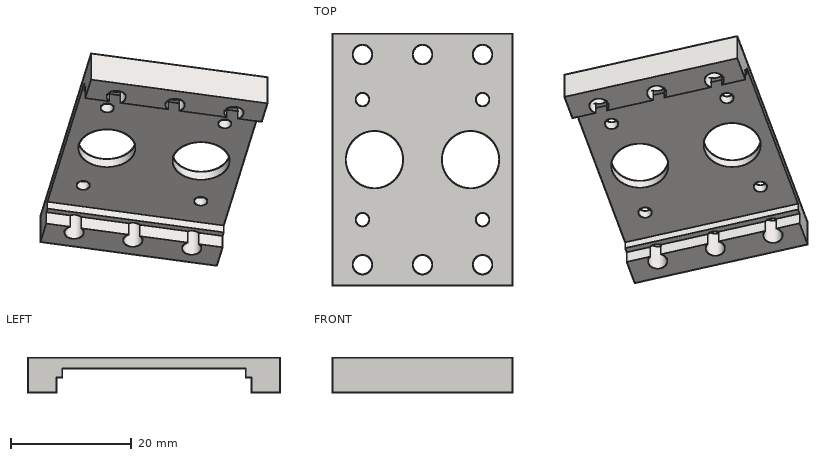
import cadquery as cq

width = 30.0
length = 42.0
height = 5.8

web_thickness = 1.8
ledge_height = 1.5
lower_channel_width = 32.4
upper_channel_width = 30.5

mount_hole_diameter = 3.2
mount_hole_pitch = 10.0
mount_row_spacing = 35.0
small_hole_diameter = 2.2
small_hole_spacing = 20.0
window_diameter = 9.5
window_spacing = 16.0


def channel(channel_width, channel_height):
    """Cutter along the whole of X, rising from the underside."""
    return cq.Workplane("XY").box(
        width, channel_width, channel_height, centered=(True, True, False)
    )


def symmetric_pair(spacing):
    """Two coordinates placed evenly about zero."""
    return [-spacing / 2, spacing / 2]


def through_holes(x_positions, y_positions, diameter):
    """Vertical cutters at every combination of the given coordinates."""
    centers = [(x, y) for x in x_positions for y in y_positions]
    return cq.Workplane("XY").pushPoints(centers).circle(diameter / 2).extrude(height)


body = cq.Workplane("XY").box(width, length, height, centered=(True, True, False))

upper_channel_height = height - web_thickness
lower_channel_height = upper_channel_height - ledge_height
body = body.cut(channel(lower_channel_width, lower_channel_height))
body = body.cut(channel(upper_channel_width, upper_channel_height))

mount_columns = [-mount_hole_pitch, 0, mount_hole_pitch]
mount_rows = symmetric_pair(mount_row_spacing)
body = body.cut(through_holes(mount_columns, mount_rows, mount_hole_diameter))

small_positions = symmetric_pair(small_hole_spacing)
body = body.cut(through_holes(small_positions, small_positions, small_hole_diameter))

window_columns = symmetric_pair(window_spacing)
body = body.cut(through_holes(window_columns, [0], window_diameter))

result = body